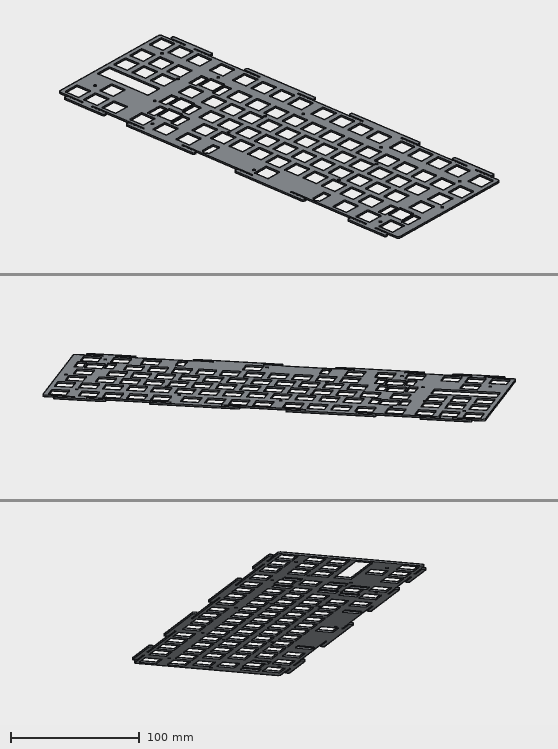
import cadquery as cq

plate_length = 350.5
plate_width = 119.5
overall_width = 128.5
thickness = 1.55
plate_corner_radius = 2.0

main_block_length = 285.7
main_block_keys = 15
pitch = main_block_length / main_block_keys
last_column = 17.25
first_x = -last_column * pitch / 2
key_size = 14.0
opening_corner_radius = 0.5

top_row_step = 23.0
lower_row_count = 5
rows_span = (lower_row_count - 1) * pitch + top_row_step
bottom_row_y = -rows_span / 2
row_y = [bottom_row_y + row * pitch for row in range(lower_row_count)] + [rows_span / 2]

stabilizer_width = 7.0
stabilizer_height = 14.7
stabilizer_drop = 1.8
stabilizer_offset = 12.0
space_stabilizer_offset = 3 * pitch
space_stabilizer_height = 13.0
notch_width = 3.0
notch_depth = 1.5

tab_gap = 1.0
bar_corner_radius = 1.0
tab_reach = (overall_width - plate_width) / 2

screw_diameter = 2.0


def column_x(column):
    return first_x + column * pitch


def column_run(first, count):
    return [first + step for step in range(count)]


def block(length, width, x, y):
    return cq.Workplane("XY").box(length, width, thickness).translate((x, y, 0))


def tab(side, bar_x, bar_length, neck_x, neck_length):
    """T-shaped tab on the upper (side = 1) or lower (side = -1) long edge."""
    bar_width = tab_reach - tab_gap
    bar_y = side * (overall_width - bar_width) / 2
    neck_y = side * plate_width / 2
    bar = block(bar_length, bar_width, bar_x, bar_y).edges("|Z").fillet(bar_corner_radius)
    neck = block(neck_length, 2 * tab_reach - bar_width, neck_x, neck_y)
    return bar.union(neck)


def cut_openings(body, centres, length, width):
    """Cut through rectangles with small rounded corners at the given centres."""
    cutter = block(length, width, 0, 0).edges("|Z").fillet(opening_corner_radius).val()
    cutters = [cutter.translate(cq.Vector(x, y, 0)) for x, y in centres]
    return body.cut(cq.Workplane(cq.Compound.makeCompound(cutters)))


end_tab_x = 145.0
long_bar_x = 54.0
long_neck_x = 53.3
end_bar = 41.0
end_neck = 9.8
long_bar = 71.0
long_neck = 40.0
tabs = [
    (1, -end_tab_x, end_bar, -end_tab_x, end_neck),
    (1, -long_bar_x, long_bar, -long_neck_x, long_neck),
    (1, long_bar_x, long_bar, long_neck_x, long_neck),
    (1, end_tab_x, end_bar, end_tab_x, end_neck),
    (-1, -end_tab_x, end_bar, -end_tab_x, end_neck),
    (-1, -67.0, 70.0, -67.0, long_neck),
    (-1, 45.5, long_bar, 45.0, long_neck),
    (-1, 146.2, 39.0, 147.3, end_neck),
]
result = block(plate_length, plate_width, 0, 0).edges("|Z").fillet(plate_corner_radius)
for placement in tabs:
    result = result.union(tab(*placement))

number_columns = column_run(0, 3)
space_column = 10.25
key_columns = [
    number_columns + [3.5, 4.75, 6, space_column, 14.5, 15.75, 17],
    [1, 4.125] + column_run(6, 10) + [16.625],
    [3.875] + column_run(5.5, 11) + [16.875],
    number_columns + [3.5] + column_run(4.75, 12) + [17],
    number_columns + [3.75] + column_run(5.25, 13),
    number_columns + [3.25] + column_run(4.5, 4) + column_run(8.75, 4) + column_run(13, 4) + [last_column],
]
key_centres = [(column_x(column), y) for columns, y in zip(key_columns, row_y) for column in columns]
result = cut_openings(result, key_centres, key_size, key_size)

result = cut_openings(result, [(column_x(1), row_y[2])], 2 * pitch + key_size, key_size)

wide_keys = [(3.75, 4), (3.875, 2), (4.125, 1), (16.625, 1)]
stabilizer_centres = [
    (column_x(column) + side * stabilizer_offset, row_y[row] - stabilizer_drop)
    for column, row in wide_keys
    for side in (-1, 1)
]
result = cut_openings(result, stabilizer_centres, stabilizer_width, stabilizer_height)

space_x = column_x(space_column)
space_top = row_y[0] - stabilizer_drop + stabilizer_height / 2
space_y = space_top - space_stabilizer_height / 2
notch_y = space_top - space_stabilizer_height
for side in (-1, 1):
    x = space_x + side * space_stabilizer_offset
    result = cut_openings(result, [(x, space_y)], stabilizer_width, space_stabilizer_height)
    result = cut_openings(result, [(x, notch_y)], notch_width, 2 * notch_depth)

screw_centres = (
    [(x, 38.5) for x in (-154.5, -96.8, -9.0, 71.0, 152.5)]
    + [(x, 16.5) for x in (-119.0, -29.0, 86.0)]
    + [(x, -21.7) for x in (-109.5, -33.3, 80.5)]
    + [(x, -50.0) for x in (-87.0, 148.3)]
    + [(169.5, -1.5), (-160.2, -34.0), (20.7, -53.3)]
)
screws = cq.Workplane("XY").pushPoints(screw_centres).circle(screw_diameter / 2)
result = result.cut(screws.extrude(thickness, both=True)).solids()